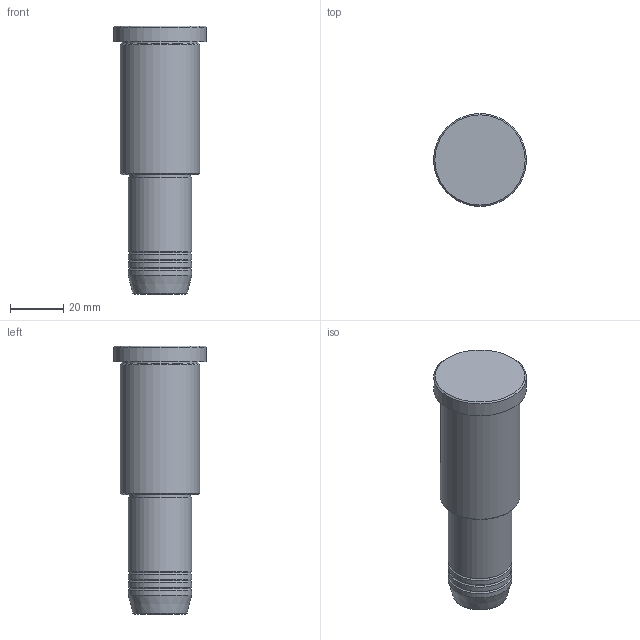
import cadquery as cq
import math

total_length = 101.0

head_diameter = 35.0
head_height = 6.0
head_chamfer = 0.5

shank_diameter = 30.0
shank_end_depth = 56.0
shank_chamfer = 0.5

guide_diameter = 24.0

relief_width = 1.0
relief_depth = 0.5
head_relief_slope = 0.5

groove_count = 3
first_groove_depth = 85.0
groove_pitch = 3.0
groove_radius = 0.5

tip_length = 7.0
tip_angle = 15.0
tip_fillet = 0.5

head_radius = head_diameter / 2
shank_radius = shank_diameter / 2
guide_radius = guide_diameter / 2
tip_radius = guide_radius - tip_length * math.tan(math.radians(tip_angle))
head_bottom = total_length - head_height
shank_bottom = total_length - shank_end_depth


def cylinder(radius, bottom, top):
    """Solid cylinder on the Z axis between two heights."""
    return cq.Workplane("XY").workplane(offset=bottom).circle(radius).extrude(top - bottom)


def revolve_profile(points):
    """Turn a closed (radius, height) outline about the Z axis."""
    return cq.Workplane("XZ").polyline(points).close().revolve(360, (0, 0), (0, 1))


def make_head():
    head = cylinder(head_radius, head_bottom, total_length)
    return head.faces(">Z").chamfer(head_chamfer)


def make_shank():
    shank = cylinder(shank_radius, shank_bottom, head_bottom)
    return shank.faces("<Z").chamfer(shank_chamfer)


def make_guide():
    return cylinder(guide_radius, tip_length, shank_bottom)


def make_tip():
    tip = revolve_profile([(0, 0), (tip_radius, 0), (guide_radius, tip_length), (0, tip_length)])
    return tip.faces("<Z").fillet(tip_fillet)


def make_head_relief():
    """Undercut ring below the head, running out to the shank with a slope."""
    floor_radius = shank_radius - relief_depth
    bottom = head_bottom - relief_width
    return revolve_profile([
        (floor_radius, head_bottom),
        (shank_radius, head_bottom),
        (shank_radius, bottom),
        (floor_radius, bottom + head_relief_slope),
    ])


def make_shank_relief():
    """Square undercut ring below the shank."""
    bottom = shank_bottom - relief_width
    ring = cylinder(guide_radius, bottom, shank_bottom)
    return ring.cut(cylinder(guide_radius - relief_depth, bottom, shank_bottom))


def make_oil_groove(top):
    """Ring of round section, centred on the guide surface so it cuts a half-round groove."""
    section = cq.Workplane("XZ").center(-guide_radius, top - groove_radius).circle(groove_radius)
    return section.revolve(360, (guide_radius, 0), (guide_radius, 1))


result = make_head().union(make_shank()).union(make_guide()).union(make_tip())
result = result.cut(make_head_relief())
result = result.cut(make_shank_relief())
for index in range(groove_count):
    groove_top = total_length - first_groove_depth - index * groove_pitch
    result = result.cut(make_oil_groove(groove_top))